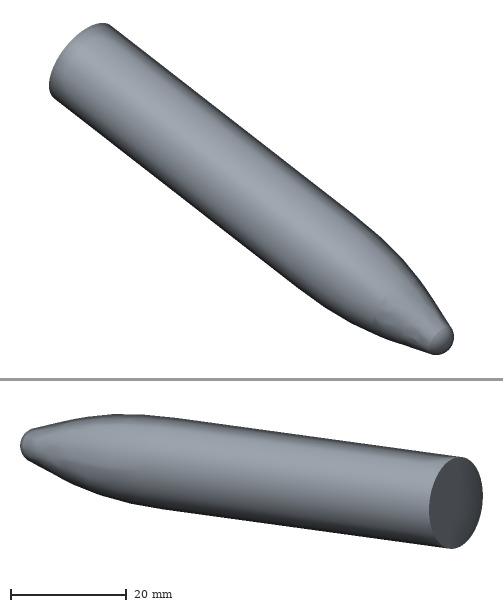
import cadquery as cq

length = 92.0
body_radius = 8.0
nose_start = 61.1
tip_radius = 2.85
tip_length = 1.8

tip_start = length - tip_length
nose_middle = (77.3, 6.5)
body_tangent = (1, 0)
tip_tangent = (1, -0.3)

tip_arc_radius = (tip_radius**2 + tip_length**2) / (2 * tip_length)
tip_middle_x = length - tip_length / 4
tip_arc_center = length - tip_arc_radius
tip_middle_radius = (tip_arc_radius**2 - (tip_middle_x - tip_arc_center) ** 2) ** 0.5

profile = (
    cq.Workplane("XY")
    .lineTo(0, body_radius)
    .lineTo(nose_start, body_radius)
    .spline(
        [nose_middle, (tip_start, tip_radius)],
        tangents=[body_tangent, tip_tangent],
        includeCurrent=True,
    )
    .threePointArc((tip_middle_x, tip_middle_radius), (length, 0))
    .close()
)
body = profile.revolve(360, (0, 0, 0), (1, 0, 0))

result = body.translate((-length / 2, 0, 0))